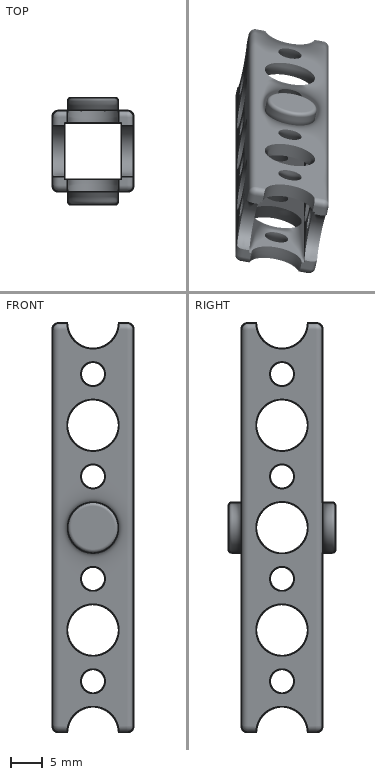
import cadquery as cq

length = 64.0
tube_width = 12.75
wall = 2.0
edge_radius = 1.0

hole_pitch = length / 4
large_diameter = 8.0
small_diameter = 3.7

peg_diameter = 7.95
peg_span = 16.8
peg_edge_radius = 0.6

bore_width = tube_width - 2 * wall
peg_root = (tube_width - wall) / 2
peg_depth = peg_span / 2 - peg_root

large_heights = [step * hole_pitch for step in range(-2, 3)]
small_heights = [(step + 0.5) * hole_pitch for step in range(-2, 2)]

pegged_wall_heights = [height for height in large_heights if height != 0]


def square_tube():
    """Tube with all outer edges rounded and a sharp-cornered square bore."""
    block = cq.Workplane("XY").box(tube_width, tube_width, length).edges().fillet(edge_radius)
    bore = cq.Workplane("XY").box(bore_width, bore_width, length)
    return block.cut(bore)


def cross_holes(plane, diameter, heights):
    """Row of cylinders along Z that pass through both walls facing the plane normal."""
    centres = [(0, height) for height in heights]
    return cq.Workplane(plane).pushPoints(centres).circle(diameter / 2).extrude(tube_width, both=True)


def pegs():
    """Pair of pegs pointing to +Y and -Y at mid-height, rounded at their outer rims."""
    root = cq.Workplane("ZX").workplane(offset=peg_root)
    peg = root.circle(peg_diameter / 2).extrude(peg_depth)
    peg = peg.faces(">Y").edges().fillet(peg_edge_radius)
    return peg.union(peg.mirror("XZ"))


result = (
    square_tube()
    .cut(cross_holes("XZ", large_diameter, pegged_wall_heights))
    .cut(cross_holes("YZ", large_diameter, large_heights))
    .cut(cross_holes("XZ", small_diameter, small_heights))
    .cut(cross_holes("YZ", small_diameter, small_heights))
    .union(pegs())
)